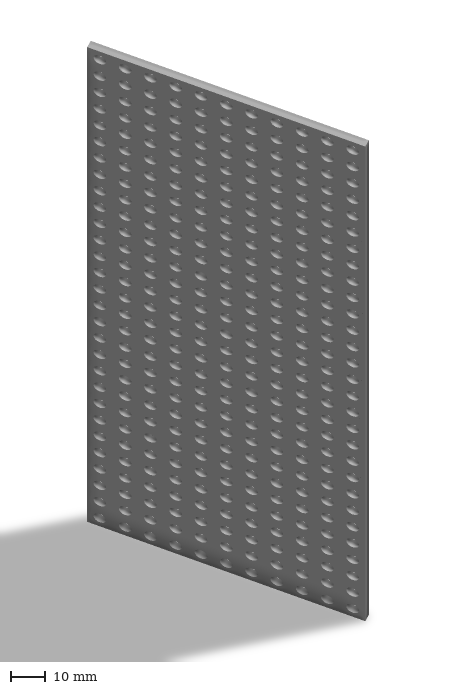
import cadquery as cq

pitch = 8.0
columns = 11
rows = 29
thickness = 2.5
hole_diameter = 4.0

width = columns * pitch
height = rows * pitch


def make_plate():
    return cq.Workplane("XY").box(width, thickness, height)


def drill_hole_grid(plate):
    """Drill one through hole at the centre of every pitch square."""
    return (
        plate.faces("<Y")
        .workplane(centerOption="CenterOfBoundBox")
        .rarray(pitch, pitch, columns, rows)
        .hole(hole_diameter)
    )


result = drill_hole_grid(make_plate())